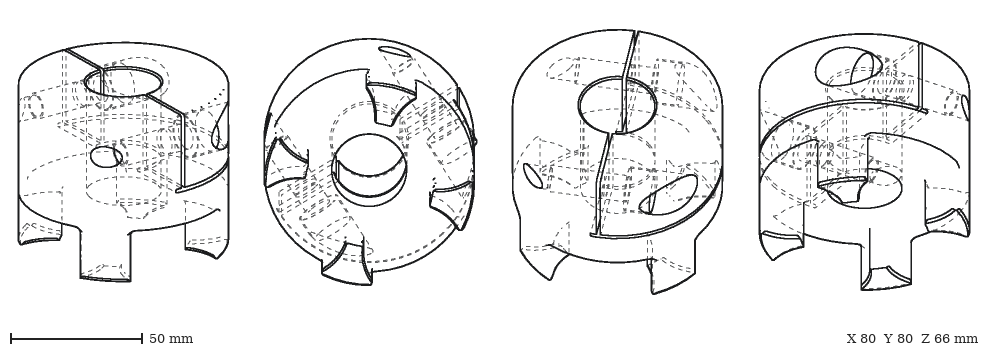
import cadquery as cq
import math


outer_radius = 40.0
body_height = 45.0
rim_fillet = 1.3
bore_radius = 14.2
bore_chamfer = 0.7

gap_width = 1.5
cap_height = 30.0
slot_end_y = -2.5
cap_bottom_z = body_height - cap_height
slot_mid_z = cap_bottom_z - gap_width / 2

jaw_count = 4
pocket_angle = 360.0 / jaw_count
jaw_length = 21.0
jaw_inner_radius = 24.4
pocket_pitch_radius = 32.0
pocket_radius = 19.0
jaw_outer_fillet = 1.8
jaw_inner_fillet = 1.6
jaw_root_fillet = 2.2
jaw_tip_chamfer_height = 1.2
jaw_tip_chamfer_depth = 0.6

screw_x = 28.5
screw_z = body_height - 14.7
head_seat_y = 9.0
head_length = 10.0
head_radius = 8.0
shank_diameter = 10.0
shank_radius = shank_diameter / 2
shank_length = 30.0
shank_tip_y = head_seat_y - shank_length
counterbore_radius = 8.5
exit_hole_radius = 4.2


def disc(radius, z_start, z_end):
    """Solid cylinder about the Z axis."""
    return cq.Workplane("XY").workplane(offset=z_start).circle(radius).extrude(z_end - z_start)


def rod(radius, x, y_start, y_end):
    """Solid cylinder along Y at the height of the screws."""
    workplane = cq.Workplane("XZ", origin=(x, y_start, screw_z))
    return workplane.circle(radius).extrude(y_start - y_end)


def around_pockets(tool):
    """Copies of a tool at the centres of the round pockets between the jaws."""
    copies = cq.Workplane("XY")
    for index in range(jaw_count):
        placed = tool.translate((pocket_pitch_radius, 0, 0))
        copies = copies.add(placed.rotate((0, 0, 0), (0, 0, 1), index * pocket_angle))
    return copies.combine()


def is_outer(edge):
    """True for an edge nearer to the outside of the jaw ring than to its inside."""
    return math.hypot(edge.Center().x, edge.Center().y) > (outer_radius + jaw_inner_radius) / 2


def make_jaws():
    """Straight jaws: a ring cut through by round pockets, with rounded corners."""
    ring = disc(outer_radius, -jaw_length, 0).cut(disc(jaw_inner_radius, -jaw_length, 0))
    jaws = ring.cut(around_pockets(disc(pocket_radius, -jaw_length, 0)))
    jaws = jaws.edges("|Z").filter(is_outer).fillet(jaw_outer_fillet)
    return jaws.edges("|Z").filter(lambda edge: not is_outer(edge)).fillet(jaw_inner_fillet)


def tip_cone(radius, depth):
    """Cone frustum over the tip chamfer, its radius changed by `depth` down at the tip."""
    taper = math.degrees(math.atan(depth / jaw_tip_chamfer_height))
    start = cq.Workplane("XY").workplane(offset=-jaw_length + jaw_tip_chamfer_height)
    return start.circle(radius).extrude(-jaw_tip_chamfer_height, taper=-taper)


def chamfer_jaw_tips(jawed_hub):
    """Bevel the tips along the outer surface and along the pockets."""
    tip_top_z = -jaw_length + jaw_tip_chamfer_height
    oversize = outer_radius + jaw_tip_chamfer_height
    outside = disc(oversize, -jaw_length, tip_top_z).cut(tip_cone(outer_radius, -jaw_tip_chamfer_depth))
    pockets = around_pockets(tip_cone(pocket_radius, jaw_tip_chamfer_depth))
    return jawed_hub.cut(outside).cut(pockets)


def make_hub():
    """Undivided hub: body, jaws with filleted roots, and bore."""
    plate_margin = 2 * jaw_root_fillet
    hub = disc(outer_radius + plate_margin, 0, body_height).union(make_jaws())
    box_reach = outer_radius + plate_margin / 2
    roots = cq.selectors.BoxSelector(
        (-box_reach, -box_reach, -jaw_length / 2),
        (box_reach, box_reach, body_height / 2),
        boundingbox=True,
    )
    hub = hub.edges(roots).fillet(jaw_root_fillet)
    hub = hub.intersect(disc(outer_radius, -jaw_length, body_height))
    hub = chamfer_jaw_tips(hub)
    hub = hub.faces(">Z").edges().fillet(rim_fillet)
    hub = hub.cut(disc(bore_radius, 0, body_height))
    return hub.faces(">Z").edges(cq.selectors.RadiusNthSelector(0)).chamfer(bore_chamfer)


def half_space(y_start, z_start):
    """Block over everything beyond y_start and above z_start."""
    reach = 2 * outer_radius
    edge_middle = cq.Workplane("XY", origin=(0, y_start, z_start))
    return edge_middle.box(reach, reach, reach, centered=(True, False, False))


def slot_end():
    """Rounded end of the flat slot, running on into the base past the vertical gap."""
    length = 2 * outer_radius
    end = cq.Workplane("YZ").center(slot_end_y, slot_mid_z).circle(gap_width / 2)
    block = cq.Workplane("XY", origin=(0, slot_end_y, slot_mid_z))
    block = block.box(length, -slot_end_y, gap_width, centered=(True, False, True))
    return end.extrude(length / 2, both=True).union(block)


def make_base(hub):
    """Hub without the cap quarter, with screw holes that open on the outside."""
    base = hub.cut(half_space(-gap_width / 2, cap_bottom_z - gap_width)).cut(slot_end())
    for x in (-screw_x, screw_x):
        base = base.cut(rod(shank_radius, x, shank_tip_y, 0))
        base = base.cut(rod(exit_hole_radius, x, -outer_radius, shank_tip_y))
    return base


def make_cap(hub):
    """Upper half of the hub behind the gap, with counterbored screw holes."""
    cap = hub.intersect(half_space(gap_width / 2, cap_bottom_z))
    for x in (-screw_x, screw_x):
        cap = cap.cut(rod(shank_radius, x, 0, head_seat_y))
        cap = cap.cut(rod(counterbore_radius, x, head_seat_y, outer_radius))
    return cap


def make_screw(x):
    """Cylindrical-head clamp screw along Y."""
    head = rod(head_radius, x, head_seat_y, head_seat_y + head_length)
    return head.union(rod(shank_radius, x, shank_tip_y, head_seat_y))


hub = make_hub()
base = make_base(hub)
cap = make_cap(hub)
screws = [make_screw(x).val() for x in (-screw_x, screw_x)]

result = cq.Compound.makeCompound([base.val(), cap.val(), *screws])